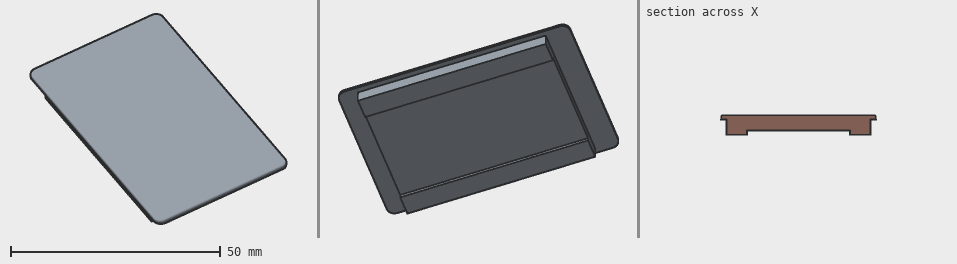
import cadquery as cq

PLATE_LENGTH = 58.85
PLATE_WIDTH = 37.15
PLATE_THICKNESS = 1.1
CORNER_RADIUS = 2.0
EDGE_FILLET = 0.5

SCREEN_LENGTH = 40.8
SCREEN_WIDTH = 30.6
SCREEN_OFFSET_X = -1.5
SCREEN_DEPTH = PLATE_THICKNESS / 2

BODY_LENGTH = 47.8
BODY_WIDTH = 34.55
BODY_OFFSET_X = 0.5

STRIP_WIDTH = 5.0
STRIP_HEIGHT = 1.0

TOTAL_HEIGHT = 4.7
BODY_BOTTOM = STRIP_HEIGHT
PLATE_BOTTOM = TOTAL_HEIGHT - PLATE_THICKNESS
SCREEN_BOTTOM = TOTAL_HEIGHT - SCREEN_DEPTH


def block(length, width, bottom, top, center_x=0, center_y=0):
    """Rectangular block between two levels, centred at the given X and Y."""
    return (
        cq.Workplane("XY")
        .box(length, width, top - bottom, centered=(True, True, False))
        .translate((center_x, center_y, bottom))
    )


def make_plate():
    """Plate with rounded corners and a filleted top rim."""
    plate = block(PLATE_LENGTH, PLATE_WIDTH, PLATE_BOTTOM, TOTAL_HEIGHT)
    plate = plate.edges("|Z").fillet(CORNER_RADIUS)
    return plate.faces(">Z").edges().fillet(EDGE_FILLET)


def make_screen():
    """Inlay whose outline stays as a seam in the flat top face."""
    return block(SCREEN_LENGTH, SCREEN_WIDTH, SCREEN_BOTTOM, TOTAL_HEIGHT, SCREEN_OFFSET_X)


def make_body():
    return block(BODY_LENGTH, BODY_WIDTH, BODY_BOTTOM, PLATE_BOTTOM, BODY_OFFSET_X)


def make_strip(side):
    """Strip flush with the body wall on the +Y (side=1) or -Y (side=-1) side."""
    center_y = side * (BODY_WIDTH - STRIP_WIDTH) / 2
    return block(BODY_LENGTH, STRIP_WIDTH, 0, BODY_BOTTOM, BODY_OFFSET_X, center_y)


screen = make_screen()
result = make_plate().cut(screen).union(screen, clean=False)
result = result.union(make_body(), clean=False)
for strip_side in (-1, 1):
    result = result.union(make_strip(strip_side), clean=False)